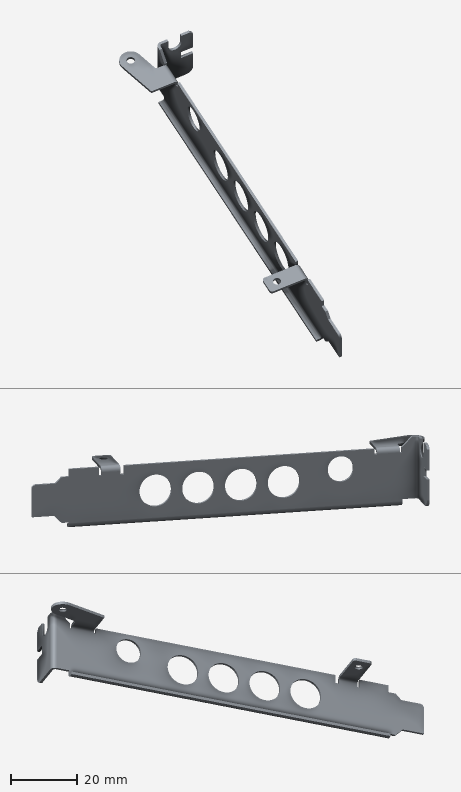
import cadquery as cq
import math

thickness = 0.9
inner_radius = 0.7
outer_radius = inner_radius + thickness

plate_top = 18.5
plate_end = 112.8
ear_top = 21.6
ear_width = 2.6
upright_x = 3.5
upright_bottom = 2.2
upright_depth = 12.3

rail_start = 9.1
rail_depth = 1.9

shoulder_length = 2.4
shoulder_top = 16.2
shoulder_bottom = 1.9
tongue_top = 14.3
tongue_bottom = 4.2
tongue_end = 124.4
tongue_corner_radius = 1.2

small_hole_diameter = 8.0
small_hole_x = 28.4
small_hole_z = 12.9
large_hole_diameter = 10.0
large_hole_x = 46.0
large_hole_z = 10.1
large_hole_pitch = 13.3
large_hole_count = 4

tab_hole_diameter = 2.5
tab_hole_y = -8.5
arm_left = 9.8
arm_right = 17.0
arm_tip_radius = 3.5
arm_angle = math.radians(15)
arm_corner_radius = 0.7
arm_relief_left = 0.5
arm_relief_right = 0.7
arm_relief_depth = 1.7
tab_width = 6.0
tab_x = 99.8
tab_left = tab_x - tab_width / 2
tab_right = tab_x + tab_width / 2
tab_end_y = -12.1
tab_corner_radius = 0.9
tab_relief_left = 1.1
tab_relief_right = 0.7
tab_relief_depth = 2.7

screw_slot_width = 4.5
screw_slot_y = 6.1
screw_slot_depth = 5.3
side_slot_depth = 4.1
side_slot_bottom = 11.1
side_slot_top = 13.9
upright_chamfer = 1.1
upright_corner_radius = 2.5


def fold(plane, corner, plate_dir, leg_dir, leg_length, start, end):
    """Quarter bend plus straight leg, swept from start to end along the plane's normal.

    corner is the sharp outer corner; plate_dir and leg_dir point along the plate and the leg.
    """
    def at(along_plate, along_leg):
        return tuple(
            origin + along_plate * plate_step + along_leg * leg_step
            for origin, plate_step, leg_step in zip(corner, plate_dir, leg_dir)
        )

    outer_mid = outer_radius * (1 - math.sqrt(0.5))
    inner_mid = outer_radius - inner_radius * math.sqrt(0.5)
    return (
        cq.Workplane(plane).workplane(offset=start)
        .moveTo(*at(outer_radius, 0))
        .threePointArc(at(outer_mid, outer_mid), at(0, outer_radius))
        .lineTo(*at(0, leg_length))
        .lineTo(*at(thickness, leg_length))
        .lineTo(*at(thickness, outer_radius))
        .threePointArc(at(inner_mid, inner_mid), at(outer_radius, thickness))
        .close()
        .extrude(end - start)
    )


def box(x_range, y_range, z_range):
    """Block filling the given (low, high) range on each axis."""
    lows, highs = zip(x_range, y_range, z_range)
    size = [high - low for low, high in zip(lows, highs)]
    return cq.Workplane("XY").box(*size, centered=False).translate(lows)


def plate():
    """Flat sheet with the ear, the rail edge and the stepped tongue; tapers run at 45 degrees."""
    shoulder_end = plate_end + shoulder_length
    top_taper = shoulder_top - tongue_top
    bottom_taper = tongue_bottom - shoulder_bottom
    ear_end = upright_x + ear_width
    outline = [
        (upright_x + outer_radius, upright_bottom),
        (rail_start, upright_bottom),
        (rail_start, outer_radius),
        (plate_end, outer_radius),
        (plate_end, shoulder_bottom),
        (shoulder_end, shoulder_bottom),
        (shoulder_end + bottom_taper, tongue_bottom),
        (tongue_end, tongue_bottom),
        (tongue_end, tongue_top),
        (shoulder_end + top_taper, tongue_top),
        (shoulder_end, shoulder_top),
        (plate_end, shoulder_top),
        (plate_end, plate_top),
        (ear_end + ear_top - plate_top, plate_top),
        (ear_end, ear_top),
        (upright_x + outer_radius, ear_top),
    ]
    body = cq.Workplane("XZ").polyline(outline).close().extrude(-thickness)
    tongue_corner = cq.selectors.NearestToPointSelector((tongue_end, thickness / 2, tongue_top))
    return body.edges(tongue_corner).fillet(tongue_corner_radius)


def plate_holes():
    centers = [(large_hole_x + i * large_hole_pitch, large_hole_z) for i in range(large_hole_count)]
    large = cq.Workplane("XZ").pushPoints(centers).circle(large_hole_diameter / 2).extrude(-thickness)
    small = (
        cq.Workplane("XZ").center(small_hole_x, small_hole_z)
        .circle(small_hole_diameter / 2).extrude(-thickness)
    )
    return large.union(small)


def tab_gap(left, right, relief_left, relief_right, relief_depth):
    """Plate removed above a tab's bend and in the reliefs on both sides of it."""
    through = (0, thickness)
    relief = (plate_top - relief_depth, ear_top)
    gap = box((left, right), through, (plate_top - outer_radius, ear_top))
    gap = gap.union(box((left - relief_left, left), through, relief))
    return gap.union(box((right, right + relief_right), through, relief))


def rail():
    return fold("YZ", (thickness, 0), (0, 1), (-1, 0), rail_depth + thickness, rail_start, plate_end)


def tab_root(left, right):
    """Bend at the upper edge with a short straight stretch that overlaps the tab."""
    return fold("YZ", (thickness, plate_top), (0, -1), (-1, 0), 2 * outer_radius, left, right)


def tab_hole(x):
    return (
        cq.Workplane("XY").workplane(offset=plate_top - thickness)
        .center(x, tab_hole_y).circle(tab_hole_diameter / 2).extrude(thickness)
    )


def arm_tab():
    """Slanted arm with a round tip, swung left from its root."""
    tip_x = arm_tip_radius
    slope = math.tan(arm_angle)
    edge_offset = arm_tip_radius / math.cos(arm_angle)
    tip_offset_x = arm_tip_radius * math.sin(arm_angle)
    tip_offset_y = arm_tip_radius * math.cos(arm_angle)
    neck_y = tab_hole_y + slope * (arm_left - tip_x) + edge_offset
    blank = (
        cq.Workplane("XY").workplane(offset=plate_top - thickness)
        .moveTo(arm_left, -inner_radius)
        .lineTo(arm_left, neck_y)
        .lineTo(tip_x - tip_offset_x, tab_hole_y + tip_offset_y)
        .threePointArc(
            (tip_x - tip_offset_y, tab_hole_y - tip_offset_x),
            (tip_x + tip_offset_x, tab_hole_y - tip_offset_y))
        .lineTo(arm_right, tab_hole_y + slope * (arm_right - tip_x) - edge_offset)
        .lineTo(arm_right, -inner_radius)
        .close()
        .extrude(thickness)
    )
    inside_corner = cq.selectors.NearestToPointSelector((arm_left, neck_y, plate_top - thickness / 2))
    blank = blank.edges("|Z").edges(inside_corner).fillet(arm_corner_radius)
    return blank.cut(tab_hole(tip_x)).union(tab_root(arm_left, arm_right))


def straight_tab():
    blank = box((tab_left, tab_right), (tab_end_y, -inner_radius), (plate_top - thickness, plate_top))
    blank = blank.edges("|Z and <Y").fillet(tab_corner_radius)
    return blank.cut(tab_hole(tab_x)).union(tab_root(tab_left, tab_right))


def upright():
    """Wall folded back at the left end, with a screw slot and a side slot."""
    through = (upright_x, upright_x + thickness)
    wall = fold("XY", (upright_x, 0), (1, 0), (0, 1), upright_depth, upright_bottom, ear_top)
    wall = wall.edges("|X and >Y and >Z").chamfer(upright_chamfer)
    wall = wall.edges("|X and >Y and <Z").fillet(upright_corner_radius)
    slot_end_z = ear_top - screw_slot_depth + screw_slot_width / 2
    slot_sides = (screw_slot_y - screw_slot_width / 2, screw_slot_y + screw_slot_width / 2)
    slot_end = (
        cq.Workplane("YZ").workplane(offset=upright_x)
        .center(screw_slot_y, slot_end_z).circle(screw_slot_width / 2).extrude(thickness)
    )
    wall = wall.cut(slot_end).cut(box(through, slot_sides, (slot_end_z, ear_top)))
    side_slot_y = (upright_depth - side_slot_depth, upright_depth)
    return wall.cut(box(through, side_slot_y, (side_slot_bottom, side_slot_top)))


result = (
    plate()
    .cut(plate_holes())
    .cut(tab_gap(arm_left, arm_right, arm_relief_left, arm_relief_right, arm_relief_depth))
    .cut(tab_gap(tab_left, tab_right, tab_relief_left, tab_relief_right, tab_relief_depth))
    .union(rail())
    .union(arm_tab())
    .union(straight_tab())
    .union(upright())
)